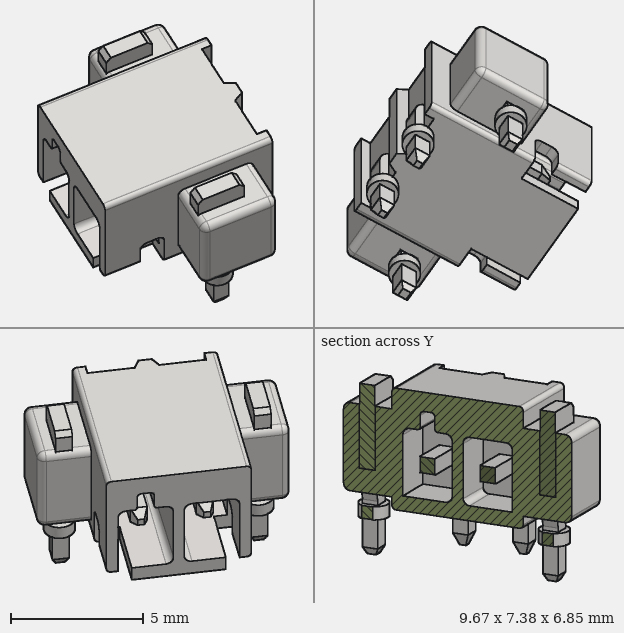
import cadquery as cq
import math


pitch = 2.54
contact_xs = [-pitch / 2, pitch / 2]
lock_xs = [-1.5 * pitch, 1.5 * pitch]

body_width = 5.58
body_depth = 7.11
body_height = 4.835
body_edge_radius = 0.19

ear_span = 9.67
ear_front = 3.09
ear_back = 6.29
ear_bottom = 0.49
ear_top = 3.99
ear_radius = 0.3

cavity_width = 2.13
cavity_bottom = 0.58
cavity_top = 3.34
cavity_depth = 5.32
cavity_radius = 0.29
cavity_shrink = 0.05
key_width = 0.66
key_top = 4.09
key_tip_radius = 0.17
key_root_radius = 0.12

floor_width = 3.62
relief_depth = 2.51
wall_bottom = 0.49
window_front = 1.5
window_top = 1.61
window_radius = 0.3

notch_width = 4.56
notch_depth = 0.41
rib_root_width = 0.95
rib_tip_width = 0.51

pin_size = 0.65
collar_radius = 0.6
collar_height = 0.52
pin_bottom = -2.01

contact_y = 6.78
contact_z = 1.94
contact_front = 0.99
contact_tip_length = 0.49
contact_tip_size = 0.26
bend_radius = 1.5 * pin_size

lock_y = contact_y - pitch
lock_blade_width = 1.96
lock_top = 4.82
lock_chamfer = 0.2
lock_shoulder = 0.17
lock_tip_length = 0.29
lock_tip_size = 0.36


def block(x_range, y_range, z_range):
    """Axis-aligned box between the given limits."""
    sizes = [high - low for low, high in (x_range, y_range, z_range)]
    corner = (x_range[0], y_range[0], z_range[0])
    return cq.Workplane("XY").box(*sizes, centered=False).translate(corner)


def make_shell():
    """Rounded housing body with the two ears, still solid inside."""
    half_width = body_width / 2
    body = block((-half_width, half_width), (0, body_depth), (0, body_height))
    body = body.edges("|Y").fillet(body_edge_radius)
    ears = block((-ear_span / 2, ear_span / 2), (ear_front, ear_back), (ear_bottom, ear_top))
    return body.union(ears.edges().fillet(ear_radius))


def rounded_outline(corners):
    """Closed outline in the XZ plane from (x, z, radius) right-angled corners; radius 0 stays sharp."""
    outline = cq.Workplane("XZ")
    count = len(corners)
    for i, (x, z, radius) in enumerate(corners):
        here = cq.Vector(x, z)
        before = (cq.Vector(*corners[i - 1][:2]) - here).normalized()
        after = (cq.Vector(*corners[(i + 1) % count][:2]) - here).normalized()
        start = here + before * radius
        middle = here + (before + after) * radius * (1 - math.sqrt(0.5))
        end = here + after * radius
        outline = outline.moveTo(start.x, start.y) if i == 0 else outline.lineTo(start.x, start.y)
        if radius > 0:
            outline = outline.threePointArc((middle.x, middle.y), (end.x, end.y))
    return outline.close()


def make_cavity(x, has_key):
    """Cavity narrowing toward the back, with a sharp outer floor corner and an optional key slot on top."""
    outward = math.copysign(1, x)
    outer = x + outward * cavity_width / 2
    inner = x - outward * cavity_width / 2
    key_outer = x + outward * key_width / 2
    key_inner = x - outward * key_width / 2
    key_corners = [
        (key_inner, cavity_top, key_root_radius),
        (key_inner, key_top, key_tip_radius),
        (key_outer, key_top, key_tip_radius),
        (key_outer, cavity_top, key_root_radius),
    ]
    corners = [
        (outer, cavity_bottom, 0),
        (inner, cavity_bottom, cavity_radius),
        (inner, cavity_top, cavity_radius),
        *(key_corners if has_key else []),
        (outer, cavity_top, cavity_radius),
    ]
    draft = math.degrees(math.atan(cavity_shrink / cavity_depth))
    return rounded_outline(corners).extrude(-cavity_depth, taper=draft)


def cut_front_relief(housing):
    """Free the front floor from the side walls and shorten those walls, rounding their lower edges."""
    half_width = body_width / 2
    half_floor = floor_width / 2
    wall_front = pitch / 2 + cavity_width / 2
    wall_back = wall_front - cavity_shrink * relief_depth / cavity_depth
    floor_top = cavity_bottom + cavity_shrink
    for side in (-1, 1):
        x_limits = sorted((side * half_floor, side * half_width))
        below_wall = block(x_limits, (0, relief_depth), (0, wall_bottom))
        gap = (
            cq.Workplane("XY")
            .polyline([
                (side * half_floor, 0),
                (side * wall_front, 0),
                (side * wall_back, relief_depth),
                (side * half_floor, relief_depth),
            ])
            .close()
            .extrude(floor_top)
        )
        housing = housing.cut(below_wall).cut(gap)
        lower_edge = cq.selectors.NearestToPointSelector((side * half_width, relief_depth / 2, wall_bottom))
        housing = housing.edges(lower_edge).fillet(body_edge_radius)
    return housing


def make_side_window():
    """Round-topped window through both side walls, beside the front floor, at the end of the relief."""
    half_width = body_width / 2
    window = block((-half_width, half_width), (window_front, relief_depth), (0, window_top))
    window = window.edges("|X and >Z").fillet(window_radius)
    half_floor = floor_width / 2
    return window.cut(block((-half_floor, half_floor), (0, body_depth), (0, body_height)))


def make_back_notch():
    """Full-height notch in the back, leaving a tapered rib in the middle."""
    root_y = body_depth - notch_depth
    notch = block((-notch_width / 2, notch_width / 2), (root_y, body_depth), (0, body_height))
    rib = (
        cq.Workplane("XY")
        .polyline([
            (-rib_root_width / 2, root_y),
            (rib_root_width / 2, root_y),
            (rib_tip_width / 2, body_depth),
            (-rib_tip_width / 2, body_depth),
        ])
        .close()
        .extrude(body_height)
    )
    return notch.cut(rib)


def make_housing(metal_parts):
    """Housing with its cavities, relief, window and notch, and a fitting hole for each metal part."""
    housing = make_shell()
    housing = cut_front_relief(housing)
    housing = housing.cut(make_cavity(contact_xs[0], has_key=True))
    housing = housing.cut(make_cavity(contact_xs[1], has_key=False))
    housing = housing.cut(make_side_window()).cut(make_back_notch())
    for part in metal_parts:
        housing = housing.cut(part)
    return housing


def tapered_tip(plane, tip_size, length):
    """Square pin end narrowing from the full pin section along the normal of the plane."""
    return (
        cq.Workplane(plane)
        .rect(pin_size, pin_size)
        .workplane(offset=length)
        .rect(tip_size, tip_size)
        .loft()
    )


def down_plane(x, y, z):
    """Plane whose normal points down, for tips that face the circuit board."""
    return cq.Plane(origin=(x, y, z), xDir=(1, 0, 0), normal=(0, 0, -1))


def make_leg(x, y, tip_length, tip_size):
    """Part of a pin below the housing: round collar, square leg and tapered tip."""
    tip_start = pin_bottom + tip_length
    half = pin_size / 2
    collar = cq.Workplane("XY").center(x, y).circle(collar_radius).extrude(-collar_height)
    leg = block((x - half, x + half), (y - half, y + half), (tip_start, 0))
    return collar.union(leg).union(tapered_tip(down_plane(x, y, tip_start), tip_size, tip_length))


def make_contact(x):
    """Right-angle square contact: forward arm with a tapered tip, rounded bend and downward leg."""
    half = pin_size / 2
    arm_start = contact_front + contact_tip_length
    back = contact_y + half
    top = contact_z + half
    arm = block((x - half, x + half), (arm_start, back), (contact_z - half, top))
    riser = block((x - half, x + half), (contact_y - half, back), (0, top))
    elbow = arm.union(riser)
    elbow = elbow.edges("|X and >Y and >Z").fillet(bend_radius)
    front_plane = cq.Plane(origin=(x, arm_start, contact_z), xDir=(1, 0, 0), normal=(0, -1, 0))
    front_tip = tapered_tip(front_plane, contact_tip_size, contact_tip_length)
    return elbow.union(front_tip).union(make_leg(x, contact_y, contact_tip_length, contact_tip_size))


def make_board_lock(x):
    """Flat blade that narrows through the ear down to a square leg with a collar."""
    half_blade = lock_blade_width / 2
    half = pin_size / 2
    blade = (
        cq.Workplane("YZ", origin=(x - half, 0, 0))
        .polyline([
            (lock_y - half, 0),
            (lock_y + half, 0),
            (lock_y + half, lock_shoulder),
            (lock_y + half_blade, ear_top),
            (lock_y + half_blade, lock_top - lock_chamfer),
            (lock_y + half_blade - lock_chamfer, lock_top),
            (lock_y - half_blade + lock_chamfer, lock_top),
            (lock_y - half_blade, lock_top - lock_chamfer),
            (lock_y - half_blade, ear_top),
            (lock_y - half, lock_shoulder),
        ])
        .close()
        .extrude(pin_size)
    )
    return blade.union(make_leg(x, lock_y, lock_tip_length, lock_tip_size))


contacts = [make_contact(x) for x in contact_xs]
board_locks = [make_board_lock(x) for x in lock_xs]
housing = make_housing(contacts + board_locks)

result = cq.Compound.makeCompound([
    housing.val(),
    *[contact.val() for contact in contacts],
    *[board_lock.val() for board_lock in board_locks],
])